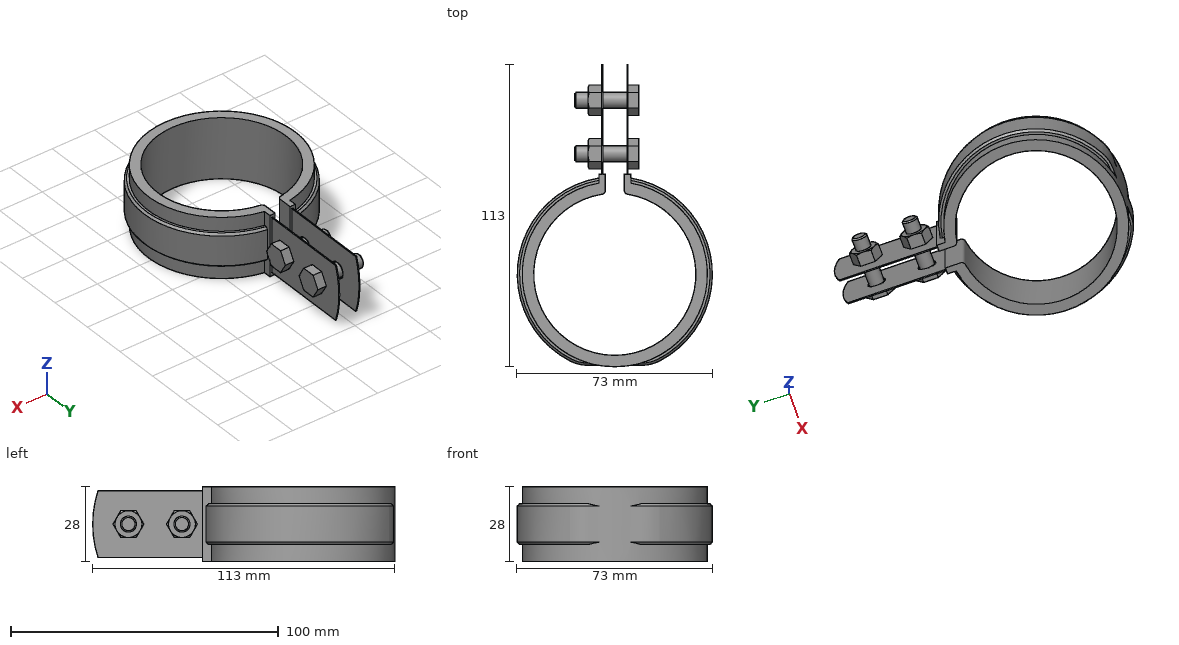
import cadquery as cq
import math


lining_height = 28.0
bore_radius = 30.25
lining_radius = 34.6
lip_width = 2.5
lip_top = 37.4
lip_edge_radius = 1.5

band_height = 15.3
band_radius = 36.5
band_chamfer = 0.9
flat_half_length = 10.0
flat_edge_x = 6.0

strap_thickness = 0.5
strap_width = 25.0
ear_inner_x = 4.5
ear_outer_x = ear_inner_x + strap_thickness
overall_length = 113.03
ear_end = overall_length - lining_radius
ear_end_bulge = 2.0
strap_radius = (bore_radius + lining_radius) / 2
strap_hole_diameter = 7.0

lip_inner_x = (ear_inner_x + ear_outer_x - lip_width) / 2
lip_outer_x = lip_inner_x + lip_width

bolt_spacing = 20.0
bolt_end_distance = 13.4
outer_bolt_y = ear_end - bolt_end_distance
bolt_positions = [outer_bolt_y - bolt_spacing, outer_bolt_y]
bolt_diameter = 6.0
bolt_tip_diameter = 4.92
bolt_length = 20.0
head_height = 4.0
nut_height = 5.0
across_flats = 10.0
across_corners = across_flats / math.cos(math.radians(30))
nut_chamfer_angle = 30.0


def slab(width, y_start, y_end, height):
    """Box centred on X and Z between two Y positions."""
    return cq.Workplane("XY").box(width, y_end - y_start, height).translate((0, (y_start + y_end) / 2, 0))


def disc(radius, height):
    """Cylinder on the pipe axis, centred on Z."""
    return cq.Workplane("XY").circle(radius).extrude(height / 2, both=True)


def make_band_blank():
    """Full band with a bottom flat, blended tangentially into the round part and chamfered."""
    flat_y = -math.sqrt(lining_radius**2 - flat_edge_x**2)
    corner_distance_squared = flat_half_length**2 + flat_y**2
    blend_radius = (band_radius**2 - corner_distance_squared) / (2 * (band_radius + flat_y))
    blend_center_y = flat_y + blend_radius
    center_distance = band_radius - blend_radius
    tangent_x = flat_half_length * band_radius / center_distance
    tangent_y = blend_center_y * band_radius / center_distance
    middle_angle = (math.atan2(blend_center_y, flat_half_length) - math.pi / 2) / 2
    middle_x = flat_half_length + blend_radius * math.cos(middle_angle)
    middle_y = blend_center_y + blend_radius * math.sin(middle_angle)
    return (
        cq.Workplane("XY")
        .workplane(offset=-band_height / 2)
        .moveTo(-flat_half_length, flat_y)
        .lineTo(flat_half_length, flat_y)
        .threePointArc((middle_x, middle_y), (tangent_x, tangent_y))
        .threePointArc((0, band_radius), (-tangent_x, tangent_y))
        .threePointArc((-middle_x, middle_y), (-flat_half_length, flat_y))
        .close()
        .extrude(band_height)
        .faces("<Z or >Z")
        .chamfer(band_chamfer)
    )


def make_strap():
    """Open hoop with two parallel ears, drilled for the bolts."""
    outer_radius = strap_radius + strap_thickness / 2
    inner_radius = strap_radius - strap_thickness / 2
    hoop = disc(outer_radius, strap_width).cut(disc(inner_radius, strap_width))
    hoop = hoop.cut(slab(2 * ear_inner_x, 0, lip_top, strap_width))

    corner_y = ear_end - ear_end_bulge
    ear_root_y = math.sqrt(inner_radius**2 - ear_inner_x**2)
    ears = (
        cq.Workplane("YZ")
        .moveTo(ear_root_y, -strap_width / 2)
        .lineTo(corner_y, -strap_width / 2)
        .threePointArc((ear_end, 0), (corner_y, strap_width / 2))
        .lineTo(ear_root_y, strap_width / 2)
        .close()
        .extrude(ear_outer_x, both=True)
        .cut(slab(2 * ear_inner_x, 0, ear_end, strap_width))
    )
    bolt_holes = (
        cq.Workplane("YZ")
        .pushPoints([(y, 0) for y in bolt_positions])
        .circle(strap_hole_diameter / 2)
        .extrude(ear_outer_x, both=True)
    )
    return hoop.union(ears).cut(bolt_holes)


def make_lining(strap):
    """Rubber ring with raised band and two lips, hollowed to hold the strap."""
    band = make_band_blank().cut(slab(2 * lip_outer_x, 0, band_radius, band_height))
    lips = slab(2 * lip_outer_x, bore_radius, lip_top, lining_height)
    gap = slab(2 * lip_inner_x, 0, lip_top, lining_height)
    lining = disc(lining_radius, lining_height).union(band).union(lips)
    lining = lining.cut(disc(bore_radius, lining_height)).cut(gap)

    edge_y = math.sqrt(bore_radius**2 - lip_inner_x**2)
    for side in (-1, 1):
        corner = cq.selectors.NearestToPointSelector((side * lip_inner_x, edge_y, 0))
        lining = lining.edges("|Z").edges(corner).fillet(lip_edge_radius)
    return lining.cut(strap)


def make_bolt(y):
    """Hexagon bolt with its head on the +X ear and a chamfered tip toward -X."""
    head = cq.Workplane("YZ", origin=(ear_outer_x, y, 0)).polygon(6, across_corners).extrude(head_height)
    shank = (
        cq.Workplane("YZ", origin=(ear_outer_x, y, 0))
        .circle(bolt_diameter / 2)
        .extrude(-bolt_length)
        .faces("<X")
        .chamfer((bolt_diameter - bolt_tip_diameter) / 2)
    )
    return head.union(shank)


def make_nut(y):
    """Hexagon nut on the -X ear, with the corners of its outer face turned down."""
    hexagon = (
        cq.Workplane("YZ", origin=(-ear_outer_x, y, 0))
        .polygon(6, across_corners)
        .extrude(-nut_height)
    )
    corner_depth = (across_corners - across_flats) / 2
    turned = (
        cq.Workplane("YZ", origin=(-ear_outer_x, y, 0))
        .circle(across_corners / 2)
        .extrude(-nut_height)
        .faces("<X")
        .chamfer(corner_depth * math.tan(math.radians(nut_chamfer_angle)), corner_depth)
    )
    bore = cq.Workplane("YZ", origin=(-ear_outer_x, y, 0)).circle(bolt_diameter / 2).extrude(-nut_height)
    return hexagon.intersect(turned).cut(bore)


strap = make_strap()
lining = make_lining(strap)
bolts = [make_bolt(y) for y in bolt_positions]
nuts = [make_nut(y) for y in bolt_positions]

result = cq.Compound.makeCompound(
    [body.solids().val() for body in [lining, strap, *bolts, *nuts]]
)